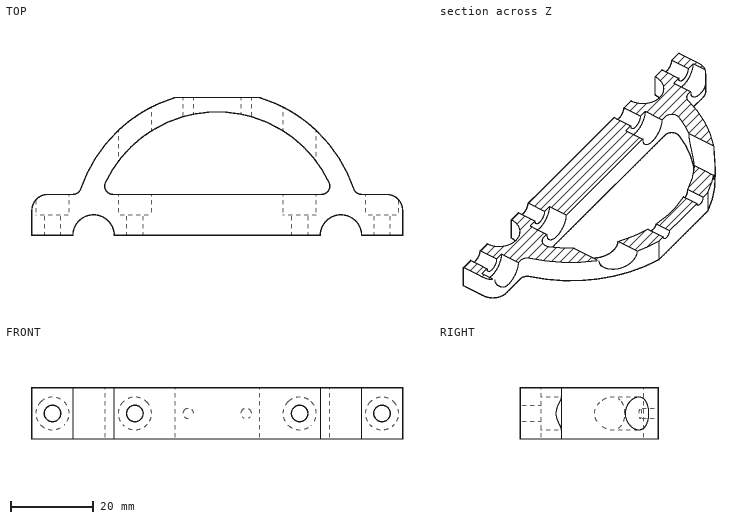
import cadquery as cq
import math

length = 90.0
thickness = 12.5
bar_depth = 10.0
corner_radius = 4.0

arch_outer_radius = 35.0
arch_inner_radius = 30.0
arch_flat_y = 33.5
window_fillet = 2.0
junction_fillet = 2.0

notch_x = length / 3
notch_diameter = 10.0

screw_positions = (-40.0, -20.0, 20.0, 40.0)
screw_diameter = 4.0
head_diameter = 8.0
head_seat_y = bar_depth / 2
pin_diameter = 2.5
pin_x = 7.0


def half_disc(radius, start_y):
    """Part of a disc centred on the origin lying beyond start_y."""
    half_chord = math.sqrt(radius**2 - start_y**2)
    return (
        cq.Workplane("XY")
        .moveTo(-half_chord, start_y)
        .threePointArc((0, radius), (half_chord, start_y))
        .close()
        .extrude(thickness)
    )


def hole_along_y(x, diameter, start_y, end_y):
    """Cylinder at mid thickness, used to cut a hole from start_y to end_y."""
    return (
        cq.Workplane("XZ", origin=(x, start_y, thickness / 2))
        .circle(diameter / 2)
        .extrude(start_y - end_y)
    )


def vertical_edges_at(body, x, y):
    """The vertical edges of body at (x, y) and at its mirror image (-x, y)."""
    reach = 0.1

    def edges_near(near_x):
        low_corner = (near_x - reach, y - reach, 0)
        high_corner = (near_x + reach, y + reach, thickness)
        return body.edges(cq.selectors.BoxSelector(low_corner, high_corner))

    return edges_near(x).add(edges_near(-x))


bar = cq.Workplane("XY").box(length, bar_depth, thickness, centered=(True, False, False))
bar = bar.edges("|Z and >Y").fillet(corner_radius)

arch_limit = cq.Workplane("XY").box(length, arch_flat_y, thickness, centered=(True, False, False))
body = bar.union(half_disc(arch_outer_radius, 0).intersect(arch_limit))
junction_x = math.sqrt(arch_outer_radius**2 - bar_depth**2)
body = vertical_edges_at(body, junction_x, bar_depth).fillet(junction_fillet)

window = half_disc(arch_inner_radius, bar_depth).edges("|Z").fillet(window_fillet)
body = body.cut(window)

notches = (
    cq.Workplane("XY")
    .pushPoints([(-notch_x, 0), (notch_x, 0)])
    .circle(notch_diameter / 2)
    .extrude(thickness)
)
body = body.cut(notches)

for x in screw_positions:
    body = body.cut(hole_along_y(x, screw_diameter, 0, bar_depth))
    body = body.cut(hole_along_y(x, head_diameter, head_seat_y, arch_flat_y))

for x in (-pin_x, pin_x):
    body = body.cut(hole_along_y(x, pin_diameter, bar_depth, arch_flat_y))

result = body